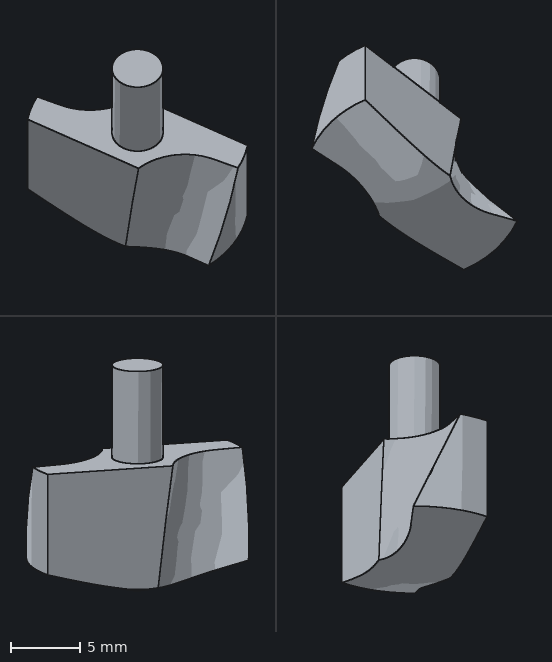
import cadquery as cq
import math

total_height = 16.9
head_diameter = 16.07
head_thickness = 5.97
head_top = 10.0
cone_height = 2.47
shank_diameter = 3.7

lip_inner_x = 6.08
lip_inner_y = 0.55
lip_angle = 5.0
flute_radius = 4.8
helix_pitch = 109.51

head_radius = head_diameter / 2
clearance = 2.03


def make_head():
    """Cylinder with a conical point, trimmed to two parallel flats."""
    revolved = (
        cq.Workplane("XZ")
        .polyline([(0, 0), (head_radius, cone_height), (head_radius, head_top), (0, head_top)])
        .close()
        .revolve(360, (0, 0, 0), (0, 1, 0))
    )
    slab = cq.Workplane("XY").box(
        head_diameter, head_thickness, head_top, centered=(True, True, False)
    )
    return revolved.intersect(slab)


def make_flute():
    """Helical cutter for the flute on the +X, -Y side."""
    lip = math.radians(lip_angle)
    center_x = lip_inner_x + flute_radius * math.sin(lip)
    center_y = lip_inner_y - flute_radius * math.cos(lip)
    middle_angle = (math.pi / 2 + lip + math.pi) / 2
    arc_middle = (
        center_x + flute_radius * math.cos(middle_angle),
        center_y + flute_radius * math.sin(middle_angle),
    )
    arc_end = (center_x - flute_radius, center_y)
    outside = head_radius + clearance
    lip_outer_y = lip_inner_y + (outside - lip_inner_x) * math.tan(lip)
    twist = 360 * head_top / helix_pitch
    return (
        cq.Workplane("XY")
        .moveTo(outside, lip_outer_y)
        .lineTo(lip_inner_x, lip_inner_y)
        .threePointArc(arc_middle, arc_end)
        .lineTo(arc_end[0], -outside)
        .lineTo(outside, -outside)
        .close()
        .twistExtrude(head_top, twist)
        .rotate((0, 0, 0), (0, 0, 1), -twist)
    )


flute = make_flute()
opposite_flute = flute.rotate((0, 0, 0), (0, 0, 1), 180)
shank = (
    cq.Workplane("XY")
    .workplane(offset=head_top)
    .circle(shank_diameter / 2)
    .extrude(total_height - head_top)
)

result = make_head().cut(flute).cut(opposite_flute).union(shank)